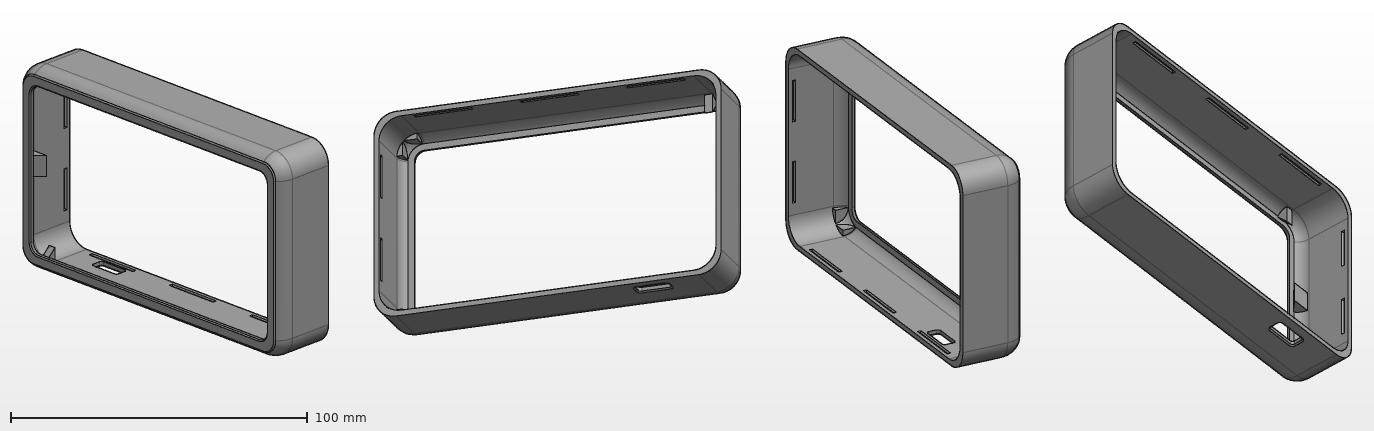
import cadquery as cq
import math

width = 125.0
depth = 23.4
height = 74.0
corner_radius = 8.0
wall = 1.9
center_x = width / 2
center_z = height / 2

round_inset = corner_radius * (1 - math.cos(math.radians(45)))
round_depth = corner_radius * math.sin(math.radians(45))
rim_bevel = 0.5
straight_start = rim_bevel + round_depth
fillet_margin = 0.001

lip_thickness = 1.5
window_inset = 6.4
window_radius = 3.6
window_bevel = 0.44
window_lead_in = 0.1
window_lead_in_depth = 0.8

groove_width = 1.2
groove_depth = 0.5
groove_back = 21.9
long_groove_length = 20.8
long_groove_pitch = 38.2
short_groove_length = 15.2
short_groove_pitch = 30.0

port_width = 12.0
port_height = 4.9
port_radius = 1.0
port_bevel = 0.5
port_center_x = 26.8
port_center_y = 17.1

tab_back = 5.5
tab_reach = 8.5
edge_tab_start = 9.9
edge_tab_width = 2.8
side_tab_width = 7.8

bracket_size = 9.2
bracket_seat = 4.0
bracket_back = 6.5


def rounded_prism(inset, radius, y_front, length, taper=0):
    """Rounded rectangle, inset from the outer sides, extruded from y_front towards the back."""
    plane = cq.Workplane("XZ", origin=(center_x, y_front, center_z))
    outline = plane.sketch().rect(width - 2 * inset, height - 2 * inset).vertices().fillet(radius)
    return outline.finalize().extrude(-length, taper=taper)


def domed_prism(inset, rounding):
    """Rounded prism reaching the open back, with its front edge rounded from straight_start."""
    front = straight_start - rounding
    prism = rounded_prism(inset, corner_radius, front, depth - front)
    return prism.faces("<Y").edges().fillet(rounding - fillet_margin)


def space_behind(y_front):
    return cq.Workplane("XY").box(width, depth, height, centered=False).translate((0, y_front, 0))


def make_shell():
    """Outer body with its round and bevelled front rim, still without the cavity."""
    rim_radius = corner_radius - round_inset
    bevel = rounded_prism(round_inset + rim_bevel, rim_radius - rim_bevel, 0, rim_bevel, taper=-45)
    return domed_prism(0, corner_radius).intersect(space_behind(rim_bevel)).union(bevel)


def make_cavity():
    return domed_prism(wall, corner_radius - wall).intersect(space_behind(lip_thickness))


def make_window():
    """Opening through the lip, flared towards the front in two steps."""
    lead_in_inset = window_inset - window_lead_in
    mouth_inset = lead_in_inset - window_bevel
    lead_in_angle = math.degrees(math.atan(window_lead_in / window_lead_in_depth))
    opening = rounded_prism(window_inset, window_radius, 0, lip_thickness)
    mouth = rounded_prism(mouth_inset, window_radius + window_lead_in + window_bevel, 0, window_bevel, 45)
    lead_in = rounded_prism(
        lead_in_inset, window_radius + window_lead_in, window_bevel, window_lead_in_depth, lead_in_angle
    )
    return opening.union(mouth).union(lead_in)


def onto_side(solid):
    """Turn a solid standing on the bottom wall so that it stands on the left wall."""
    return solid.rotate((0, 0, 0), (0, 1, 0), 90).translate((0, 0, center_z))


def mirrored_z(solid):
    return solid.union(solid.mirror("XY", (0, 0, center_z)))


def mirrored_x(solid):
    return solid.union(solid.mirror("YZ", (center_x, 0, 0)))


def groove(length):
    """Groove cut down into the bottom wall, centred on X = 0, narrowing at 45 degrees."""
    top = cq.Workplane("XY", origin=(0, groove_back - groove_width / 2, wall)).rect(length, groove_width)
    return top.extrude(-groove_depth, taper=45)


def make_grooves():
    long_groove = groove(long_groove_length)
    short_groove = onto_side(groove(short_groove_length))
    grooves = cq.Workplane("XY")
    for step in (-1, 0, 1):
        grooves = grooves.add(mirrored_z(long_groove.translate((center_x + step * long_groove_pitch, 0, 0))))
    for side in (-1, 1):
        grooves = grooves.add(mirrored_x(short_groove.translate((0, 0, side * short_groove_pitch / 2))))
    return grooves.combine()


def make_port():
    """Rounded slot through the bottom wall, bevelled on the outside."""
    port = cq.Workplane("XY").center(port_center_x, port_center_y).rect(port_width, port_height)
    port = port.extrude(2 * wall).edges("|Z").fillet(port_radius)
    mouth = cq.Workplane("XY").center(port_center_x, port_center_y).sketch()
    mouth = mouth.rect(port_width + 2 * port_bevel, port_height + 2 * port_bevel)
    mouth = mouth.vertices().fillet(port_radius + port_bevel).finalize()
    return port.union(mouth.extrude(port_bevel, taper=45))


def tab(length):
    """Tab rising at 45 degrees to its tip, with a square back, centred on X = 0."""
    profile = [
        (tab_back - tab_reach, 0),
        (tab_back, tab_reach),
        (tab_back, 0),
    ]
    return cq.Workplane("YZ").polyline(profile).close().extrude(length / 2, both=True)


def make_tabs():
    edge_tab = tab(edge_tab_width).translate((edge_tab_start + edge_tab_width / 2, 0, 0))
    return mirrored_z(edge_tab).union(onto_side(tab(side_tab_width)))


def make_brackets():
    block = cq.Workplane("XY").box(bracket_size, bracket_back, bracket_size, centered=False)
    block = block.translate((width - bracket_size, 0, 0))
    seat = block.translate((-bracket_seat, 0, bracket_seat))
    return mirrored_z(block.cut(seat))


fittings = make_tabs().union(make_brackets())
cavity = make_cavity().cut(fittings)
result = make_shell().cut(cavity).cut(make_window()).cut(make_grooves()).cut(make_port())